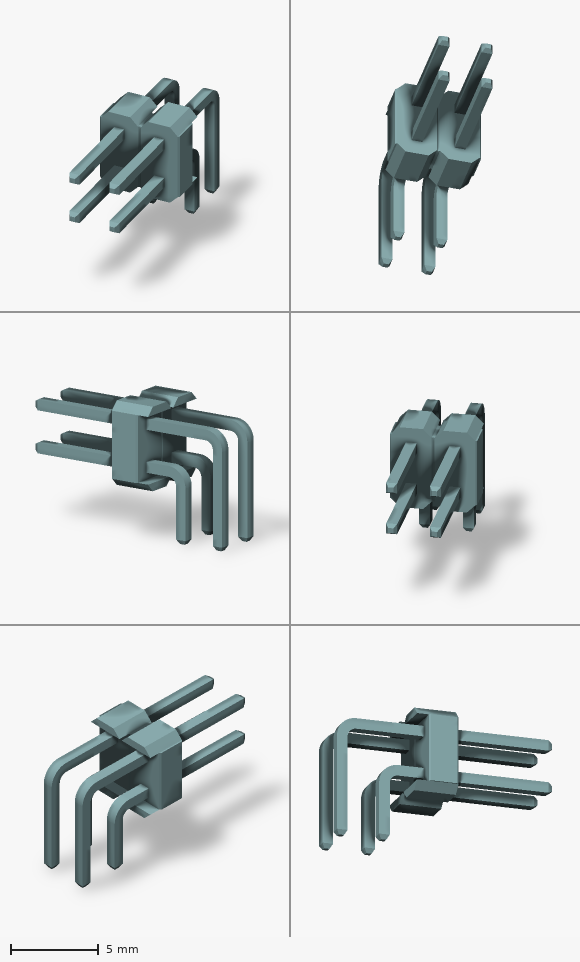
import cadquery as cq

PITCH = 2.54
COLUMNS = 2
ROWS = 2

HOUSING_HEIGHT = 5.0
FLANGE_DEPTH = 2.5
BODY_DEPTH = 1.8
GROOVE_SIZE = 0.09
CORNER_CHAMFER = 0.5

CELL_WIDTH = PITCH - 2 * GROOVE_SIZE
BODY_HEIGHT = HOUSING_HEIGHT - 2 * CORNER_CHAMFER

PIN_WIDTH = 0.64
TIP_WIDTH = 0.31
TIP_LENGTH = 0.27
INNER_BEND_RADIUS = 0.52
OUTER_BEND_RADIUS = INNER_BEND_RADIUS + PIN_WIDTH
FRONT_REACH = 6.0
TOTAL_LENGTH = 13.04
TOTAL_HEIGHT = 8.0

FRONT_TIP_Y = -FRONT_REACH
LOWER_TIP_Z = HOUSING_HEIGHT / 2 - TOTAL_HEIGHT
LONGEST_REAR_Y = FRONT_TIP_Y + TOTAL_LENGTH


def grid_offsets(count):
    """Positions of evenly pitched items, centred on zero, in rising order."""
    return [(i - (count - 1) / 2) * PITCH for i in range(count)]


COLUMN_X = grid_offsets(COLUMNS)
ROW_Z = grid_offsets(ROWS)


def make_cell(x):
    """Full-depth block with an octagonal front, around one column of pins."""
    return (
        cq.Workplane("XY")
        .box(CELL_WIDTH, FLANGE_DEPTH, HOUSING_HEIGHT)
        .edges("|Y")
        .chamfer(CORNER_CHAMFER)
        .translate((x, FLANGE_DEPTH / 2, 0))
    )


def make_web(x):
    """Bevelled block that joins one column's cell to its neighbours."""
    return (
        cq.Workplane("XY")
        .box(PITCH, BODY_DEPTH, BODY_HEIGHT)
        .edges("|Z")
        .chamfer(GROOVE_SIZE)
        .translate((x, BODY_DEPTH / 2, 0))
    )


def make_rear_recess():
    """Cutter for the channel across the rear, between the two flanges."""
    return cq.Workplane("XY").box(
        COLUMNS * PITCH, FLANGE_DEPTH - BODY_DEPTH, BODY_HEIGHT
    ).translate((0, (BODY_DEPTH + FLANGE_DEPTH) / 2, 0))


def make_pin_hole(x, z):
    """Cutter for the square through hole that fits one pin."""
    return (
        cq.Workplane("XY")
        .box(PIN_WIDTH, FLANGE_DEPTH, PIN_WIDTH)
        .translate((x, FLANGE_DEPTH / 2, z))
    )


def make_housing():
    housing = make_cell(COLUMN_X[0]).union(make_web(COLUMN_X[0]))
    for x in COLUMN_X[1:]:
        housing = housing.union(make_cell(x)).union(make_web(x))
    housing = housing.cut(make_rear_recess())
    for x in COLUMN_X:
        for z in ROW_Z:
            housing = housing.cut(make_pin_hole(x, z))
    return housing.solids()


def make_tip(base_plane):
    """Truncated pyramid that tapers along the normal of the base plane."""
    return (
        cq.Workplane(base_plane)
        .rect(PIN_WIDTH, PIN_WIDTH)
        .workplane(offset=TIP_LENGTH)
        .rect(TIP_WIDTH, TIP_WIDTH)
        .loft(ruled=True)
    )


def make_pin(x, z, rear_y):
    """Right-angle square pin at column x and row z, with its rear face at rear_y."""
    top_z = z + PIN_WIDTH / 2
    front_y = FRONT_TIP_Y + TIP_LENGTH
    lower_z = LOWER_TIP_Z + TIP_LENGTH
    leg_y = rear_y - PIN_WIDTH / 2

    shank = (
        cq.Workplane("YZ", origin=(x, 0, 0))
        .moveTo(front_y, top_z)
        .lineTo(rear_y - OUTER_BEND_RADIUS, top_z)
        .radiusArc((rear_y, top_z - OUTER_BEND_RADIUS), OUTER_BEND_RADIUS)
        .lineTo(rear_y, lower_z)
        .lineTo(rear_y - PIN_WIDTH, lower_z)
        .lineTo(rear_y - PIN_WIDTH, top_z - OUTER_BEND_RADIUS)
        .radiusArc((rear_y - OUTER_BEND_RADIUS, top_z - PIN_WIDTH), -INNER_BEND_RADIUS)
        .lineTo(front_y, top_z - PIN_WIDTH)
        .close()
        .extrude(PIN_WIDTH / 2, both=True)
    )
    front_tip = make_tip(cq.Plane(origin=(x, front_y, z), xDir=(1, 0, 0), normal=(0, -1, 0)))
    lower_tip = make_tip(cq.Plane(origin=(x, leg_y, lower_z), xDir=(1, 0, 0), normal=(0, 0, -1)))
    return shank.union(front_tip).union(lower_tip).solids()


def make_pins():
    """One pin per grid place; each row reaches one pitch further back than the row below."""
    pins = []
    for x in COLUMN_X:
        for z in ROW_Z:
            rear_y = LONGEST_REAR_Y - (ROW_Z[-1] - z)
            pins.append(make_pin(x, z, rear_y))
    return pins


housing = make_housing()
pins = make_pins()

result = cq.Compound.makeCompound([housing.val(), *[pin.val() for pin in pins]])